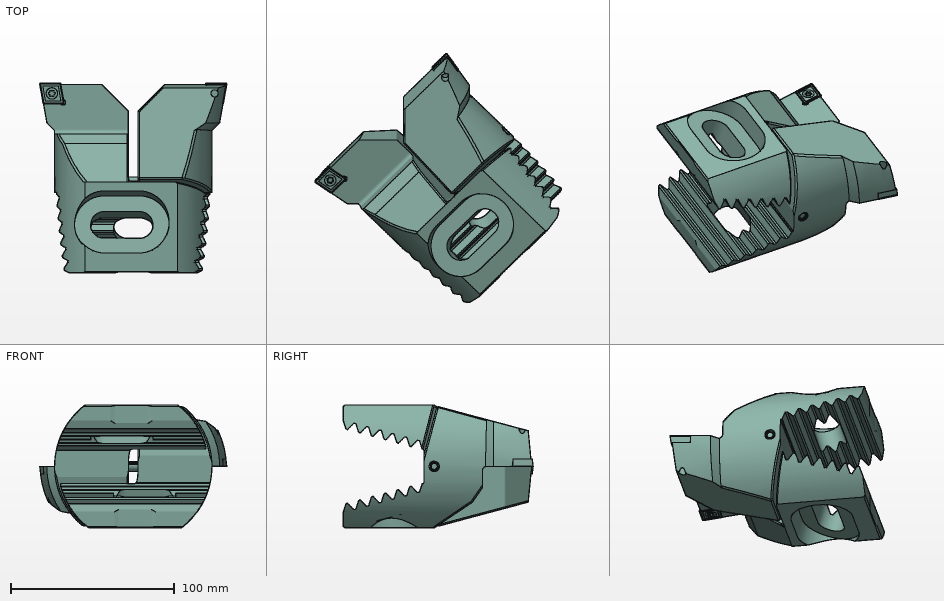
import cadquery as cq
import math

TILT = 15
SLOPE = math.tan(math.radians(TILT))
FAR = 69.7

HALF_HEIGHT = 37.59
BODY_RADIUS = 47.1
BODY_AXIS_X = -1.1
SLOT_WALL_X = -2.9
CORNER_FILLET = 2.8
EDGE_CHAMFER = 0.9

MOUTH_Y = 49.3
MOUTH_TOP_Z = 9.9
MOUTH_BOTTOM_Z = -6.6
BACK_Y = 115.3
BACK_BOTTOM_Y = 113.2
BACK_BOTTOM_Z = -21.8
STEP_Y = 85.1
STEP_FILLET = 2.7
STEP_TOP_Z = 13.1
SHOULDER_Y = 79
SHOULDER_Z = 21.8
ARM_CORNER_CUT = 16.3
ARM_CORNER_FILLET = 1.2

ARM_AXIS_X = -4.1
ARM_BACK_RADIUS = 53.0
ARM_FRONT_RADIUS = 48.8
ARM_FRONT_Y = 91.8
ARM_CONE_HEIGHT = 7

TOOTH_COUNT = 7
TOOTH_PITCH_Y = 7.8
TOOTH_PITCH_Z = TOOTH_PITCH_Y * SLOPE
TIP_LAND = (1.0, 0.7)
VALLEY_START = (2.7, 5.8)
VALLEY_END = (4.0, 6.0)

JAW_REAR_Y = MOUTH_Y - TIP_LAND[0] / 2
JAW_REAR_Z = MOUTH_TOP_Z + TIP_LAND[1]
FLAT_END_Y = 55.7
JAW_REAR_SLOPE = (FLAT_END_Y - JAW_REAR_Y) / (HALF_HEIGHT - JAW_REAR_Z)

CLAMP_X = -7
CLAMP_SEAT_Y = 29.4
CLAMP_SEAT_Z = 30.9
CLAMP_TRAVEL = 21.1
SEAT_DIAMETER = 36.7
CLAMP_DIAMETER = 17.0

RECESS_DEPTH = 0.5
RECESS_WIDTH = 25.1
RECESS_FLOOR_WIDTH = 20.2

INSERT_TIP_X = -57.4
INSERT_TIP_Y = 116.2
INSERT_EDGE = 13.0
INSERT_LEAN = 10
INSERT_THICKNESS = 4.6
INSERT_RELIEF = 7
INSERT_NOSE = 0.8
GROOVE_OUTER_INSET = 0.6
GROOVE_INNER_INSET = 1.7
GROOVE_DEPTH = 0.3
INSERT_HEIGHT = INSERT_EDGE * math.cos(math.radians(INSERT_LEAN))
INSERT_SHIFT = INSERT_EDGE * math.sin(math.radians(INSERT_LEAN))
INSERT_CORNERS = [
    (INSERT_TIP_X, INSERT_TIP_Y),
    (INSERT_TIP_X + INSERT_EDGE, INSERT_TIP_Y),
    (INSERT_TIP_X + INSERT_EDGE + INSERT_SHIFT, INSERT_TIP_Y - INSERT_HEIGHT),
    (INSERT_TIP_X + INSERT_SHIFT, INSERT_TIP_Y - INSERT_HEIGHT),
]
INSERT_X = INSERT_TIP_X + (INSERT_EDGE + INSERT_SHIFT) / 2
INSERT_Y = INSERT_TIP_Y - INSERT_HEIGHT / 2
POCKET_RELIEF_RADIUS = 1.7
POCKET_RELIEF_INSET = 0.9

HEAD_DIAMETER = 7
SHANK_DIAMETER = 4.4
HEAD_HEIGHT = 2.8
SCREW_LENGTH = 14
SOCKET_RADIUS = 1.5
SOCKET_LOBE_RADIUS = 0.6
SOCKET_LOBES = 6
SOCKET_DEPTH = 1.7

PIN_Y = 55.7
PIN_LENGTH = 94.1
SLEEVE_DIAMETER = 6.3
CORE_DIAMETER = 4.9
CORE_CHAMFER = 0.6
SLIT_WIDTH = 3.0
SLIT_ANGLE = 66


def side_extrusion(outline, x_from, x_to):
    """Prism along X of a closed outline drawn in (Y, Z)."""
    return outline.extrude(x_to - x_from).translate((x_from, 0, 0))


def y_cylinder(radius, axis_x, length):
    return cq.Workplane("XZ").center(axis_x, 0).circle(radius).extrude(-length)


def make_envelope():
    """Round body, and the conical arm behind it."""
    body = y_cylinder(BODY_RADIUS, BODY_AXIS_X, ARM_FRONT_Y - ARM_CONE_HEIGHT / 2)
    cone_start_y = ARM_FRONT_Y - ARM_CONE_HEIGHT
    arm = (
        cq.Workplane("XY")
        .moveTo(0, cone_start_y)
        .lineTo(ARM_FRONT_RADIUS - ARM_CONE_HEIGHT, cone_start_y)
        .lineTo(ARM_FRONT_RADIUS, ARM_FRONT_Y)
        .lineTo(ARM_BACK_RADIUS, BACK_Y)
        .lineTo(0, BACK_Y)
        .close()
        .revolve(360, (0, 0, 0), (0, 1, 0))
        .translate((ARM_AXIS_X, 0, 0))
    )
    return body.union(arm)


def block_prism(x_from, x_to):
    """Side profile of the block, as a prism along X."""
    slope_z_at_origin = BACK_BOTTOM_Z - BACK_BOTTOM_Y * SLOPE
    end_y_at_origin = MOUTH_Y + MOUTH_BOTTOM_Z * SLOPE
    heel_y = (end_y_at_origin - slope_z_at_origin * SLOPE) / (1 + SLOPE**2)
    heel_z = slope_z_at_origin + heel_y * SLOPE
    outline = (
        cq.Workplane("YZ")
        .moveTo(MOUTH_Y, MOUTH_BOTTOM_Z)
        .lineTo(heel_y, heel_z)
        .lineTo(BACK_BOTTOM_Y, BACK_BOTTOM_Z)
        .lineTo(BACK_Y, 0)
        .lineTo(STEP_Y + STEP_FILLET, 0)
        .radiusArc((STEP_Y, STEP_FILLET), STEP_FILLET)
        .lineTo(STEP_Y, STEP_TOP_Z)
        .lineTo(SHOULDER_Y, SHOULDER_Z)
        .lineTo(FLAT_END_Y, HALF_HEIGHT)
        .lineTo(JAW_REAR_Y, HALF_HEIGHT)
        .lineTo(JAW_REAR_Y, JAW_REAR_Z)
        .lineTo(MOUTH_Y, MOUTH_TOP_Z)
        .close()
    )
    return side_extrusion(outline, x_from, x_to)


def make_block():
    """Part of the cartridge on its own side of the gap: mouth wall, slopes and arm."""
    corner = (
        cq.Workplane("XY", origin=(SLOT_WALL_X, BACK_Y, 0))
        .polyline([(0, 0), (-ARM_CORNER_CUT, 0), (0, -ARM_CORNER_CUT)])
        .close()
        .extrude(FAR, both=True)
    )
    block = block_prism(-FAR, SLOT_WALL_X).cut(corner)
    cut_edge = cq.selectors.BoxSelector(
        (SLOT_WALL_X - 1.2, BACK_Y - ARM_CORNER_CUT - 1.2, -FAR), (0, BACK_Y - ARM_CORNER_CUT + 1.2, FAR)
    )
    block = block.edges("|Z").edges(cut_edge).fillet(ARM_CORNER_FILLET).intersect(make_envelope())
    return chamfer_block(block)


def chamfer_block(block):
    """Break the edges of the lower slope, the leaning end face and the upper slope."""
    lower_slope = cq.selectors.ParallelDirSelector(cq.Vector(0, SLOPE, -1))
    end_face = cq.selectors.ParallelDirSelector(cq.Vector(0, 1, SLOPE))
    arm_edges = cq.selectors.BoxSelector(
        (-FAR, STEP_Y, -FAR), (SLOT_WALL_X - ARM_CORNER_CUT, 2 * FAR, 0)
    )
    mouth_edge = cq.selectors.BoxSelector((-FAR, 0, -FAR), (0, MOUTH_Y + EDGE_CHAMFER, 0))
    lower_edges = cq.selectors.InverseSelector(arm_edges + mouth_edge)
    block = block.faces(lower_slope + end_face).edges(lower_edges).chamfer(EDGE_CHAMFER)
    upper_edges = cq.selectors.BoxSelector(
        (-FAR, FLAT_END_Y, STEP_TOP_Z), (0, STEP_Y + EDGE_CHAMFER, HALF_HEIGHT)
    )
    return block.edges(upper_edges).edges("not |X").chamfer(EDGE_CHAMFER)


def make_corner_filler():
    """Concave round between the slot wall and the leaning rear face of the jaw."""
    corner_plane = cq.Plane(
        origin=(SLOT_WALL_X, JAW_REAR_Y, JAW_REAR_Z), xDir=(1, 0, 0), normal=(0, JAW_REAR_SLOPE, 1)
    )
    filler = (
        cq.Workplane(corner_plane)
        .lineTo(CORNER_FILLET, 0)
        .radiusArc((0, CORNER_FILLET), CORNER_FILLET)
        .close()
        .extrude(FAR / 2, both=True)
    )
    return filler.intersect(block_prism(SLOT_WALL_X, SLOT_WALL_X + CORNER_FILLET))


def make_jaw():
    """Upper jaw across the full width, with teeth on its inner side."""
    teeth = [
        (MOUTH_Y - i * TOOTH_PITCH_Y - forward, MOUTH_TOP_Z + i * TOOTH_PITCH_Z + up)
        for i in range(TOOTH_COUNT)
        for forward, up in ((0, 0), TIP_LAND, VALLEY_START, VALLEY_END)
    ]
    outer_edge = [
        (0, HALF_HEIGHT - EDGE_CHAMFER),
        (EDGE_CHAMFER, HALF_HEIGHT),
        (FLAT_END_Y, HALF_HEIGHT),
    ]
    outline = cq.Workplane("YZ").polyline(
        [(JAW_REAR_Y, JAW_REAR_Z)] + teeth[1:-1] + outer_edge
    ).close()
    jaw = side_extrusion(outline, -FAR, FAR)
    jaw = jaw.intersect(y_cylinder(BODY_RADIUS, BODY_AXIS_X, FAR))
    rear_face = cq.selectors.ParallelDirSelector(cq.Vector(0, 1, -JAW_REAR_SLOPE))
    return jaw.faces(rear_face).edges(">X").chamfer(EDGE_CHAMFER)


def make_clamp_slot():
    """Seat and through slot for the clamping screw."""
    tilt = math.radians(TILT)
    seat_plane = cq.Plane(
        origin=(CLAMP_X, CLAMP_SEAT_Y, CLAMP_SEAT_Z),
        xDir=(1, 0, 0),
        normal=(0, math.sin(tilt), math.cos(tilt)),
    )
    seat = cq.Workplane(seat_plane).slot2D(CLAMP_TRAVEL + SEAT_DIAMETER, SEAT_DIAMETER).extrude(FAR)
    through = (
        cq.Workplane(seat_plane)
        .slot2D(CLAMP_TRAVEL + CLAMP_DIAMETER, CLAMP_DIAMETER)
        .extrude(-HALF_HEIGHT / 1.5)
    )
    return seat.union(through)


def make_front_recess():
    half_width = RECESS_WIDTH / 2
    half_floor = RECESS_FLOOR_WIDTH / 2
    return (
        cq.Workplane("XY", origin=(BODY_AXIS_X, 0, 0))
        .polyline(
            [(-half_width, 0), (-half_floor, RECESS_DEPTH), (half_floor, RECESS_DEPTH), (half_width, 0)]
        )
        .close()
        .extrude(FAR)
    )


def rhombus(inset):
    """Rounded insert outline in the centre plane, moved inwards by the inset."""
    prism = cq.Workplane("XY").polyline(INSERT_CORNERS).close().extrude(-INSERT_THICKNESS)
    outline = prism.edges("|Z").fillet(INSERT_NOSE).faces(">Z").wires().val()
    wires = outline.offset2D(-inset) if inset else [outline]
    return cq.Workplane("XY").newObject(wires).toPending()


def make_insert_blank():
    """Insert without its hole and groove; its top face lies in the centre plane."""
    return rhombus(0).extrude(-INSERT_THICKNESS, taper=INSERT_RELIEF)


def make_screw_body():
    """Countersunk screw without its socket."""
    head_radius = HEAD_DIAMETER / 2
    shank_radius = SHANK_DIAMETER / 2
    return (
        cq.Workplane("XZ")
        .polyline(
            [
                (0, 0),
                (head_radius, 0),
                (shank_radius, -HEAD_HEIGHT),
                (shank_radius, -SCREW_LENGTH),
                (0, -SCREW_LENGTH),
            ]
        )
        .close()
        .revolve(360, (0, 0, 0), (0, 1, 0))
        .translate((INSERT_X, INSERT_Y, 0))
    )


def make_screw():
    socket = (
        cq.Workplane("XY", origin=(INSERT_X, INSERT_Y, -SOCKET_DEPTH))
        .circle(SOCKET_RADIUS)
        .extrude(SOCKET_DEPTH)
    )
    lobes = (
        cq.Workplane("XY", origin=(INSERT_X, INSERT_Y, -SOCKET_DEPTH))
        .polarArray(SOCKET_RADIUS, 0, 360, SOCKET_LOBES)
        .circle(SOCKET_LOBE_RADIUS)
        .extrude(SOCKET_DEPTH)
    )
    return make_screw_body().cut(socket).cut(lobes)


def make_insert():
    groove_outer = rhombus(GROOVE_OUTER_INSET).extrude(-GROOVE_DEPTH)
    groove_inner = rhombus(GROOVE_INNER_INSET).extrude(-GROOVE_DEPTH)
    return make_insert_blank().cut(groove_outer.cut(groove_inner)).cut(make_screw_body())


def cut_insert_pocket(cartridge):
    """Cut the seat of the insert, a relief at its inner corner and the hole of its screw."""
    tip, back_corner, inner_corner, side_corner = INSERT_CORNERS
    open_half = (
        cq.Workplane("XY")
        .polyline([tip, back_corner, side_corner])
        .close()
        .extrude(-INSERT_THICKNESS)
    )
    corner_relief = (
        cq.Workplane("XY")
        .center(inner_corner[0] - POCKET_RELIEF_INSET, inner_corner[1] + POCKET_RELIEF_INSET)
        .circle(POCKET_RELIEF_RADIUS)
        .extrude(-INSERT_THICKNESS)
    )
    screw_hole = (
        cq.Workplane("XY").center(INSERT_X, INSERT_Y).circle(SHANK_DIAMETER / 2).extrude(-FAR)
    )
    for cutter in (make_insert_blank(), open_half, corner_relief, screw_hole):
        cartridge = cartridge.cut(cutter)
    return cartridge


def make_cross_rod(diameter, length):
    return (
        cq.Workplane("YZ", origin=(-length / 2, PIN_Y, 0)).circle(diameter / 2).extrude(length)
    )


def make_cartridge():
    cartridge = make_jaw().union(make_block()).union(make_corner_filler())
    return (
        cut_insert_pocket(cartridge)
        .cut(make_clamp_slot())
        .cut(make_front_recess())
        .cut(make_cross_rod(SLEEVE_DIAMETER, 2 * FAR))
    )


def make_core():
    return make_cross_rod(CORE_DIAMETER, PIN_LENGTH).faces("<X or >X").chamfer(CORE_CHAMFER)


def make_sleeve():
    slit = (
        cq.Workplane("YZ", origin=(0, PIN_Y, 0))
        .center(-SLEEVE_DIAMETER / 2, 0)
        .rect(SLEEVE_DIAMETER, SLIT_WIDTH)
        .extrude(FAR, both=True)
        .rotate((0, PIN_Y, 0), (1, PIN_Y, 0), -SLIT_ANGLE)
    )
    sleeve = make_cross_rod(SLEEVE_DIAMETER, PIN_LENGTH)
    return sleeve.cut(slit).cut(make_cross_rod(CORE_DIAMETER, PIN_LENGTH))


bodies = [make_sleeve().val(), make_core().val()]
for half_turn in (0, 180):
    for piece in (make_cartridge(), make_insert(), make_screw()):
        bodies.append(piece.rotate((0, 0, 0), (0, 1, 0), half_turn).val())

result = cq.Compound.makeCompound(bodies)